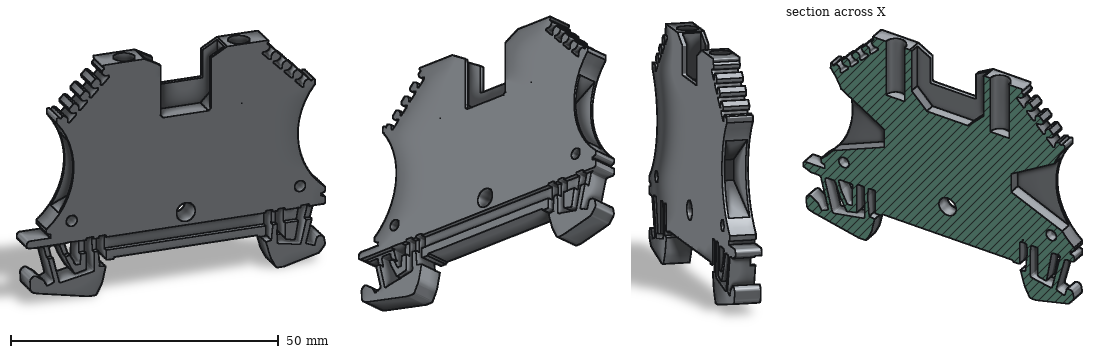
import cadquery as cq
import math


thickness = 5.1
top_z = 46.25
base_z = 7.15
small_round = 0.3

notch_half = 5.05
notch_z = 38.8
tower_shoulder_z = 44.45
tower_top_inner_y = 8.3
tower_top_outer_y = 16.8

tooth_count = 5
tooth_row_span = 8.75
tooth_pitch = tooth_row_span / (tooth_count - 1)
tooth_radius = 0.95
tooth_flat = 0.7
tooth_root_round = 0.25
first_tooth_y = 15.9
first_tooth_z = 45.0
tooth_root_drop = 1.8
shoulder_sum = first_tooth_y + first_tooth_z - tooth_root_drop
last_tooth_y = first_tooth_y + tooth_row_span
last_tooth_z = first_tooth_z - tooth_row_span

end_top_y = 25.9
end_top_z = 35.95
end_waist_y = 22.5
end_waist_z = 26.35
end_tip_y = 28.0
end_tip_z = 14.8
end_tip_bottom_z = 14.0
end_nick_y = 27.2
end_nick_z = 13.6

rail_hole_z = 14.05
rail_hole_radius = 1.85
pin_hole_y = 22.9
pin_hole_z = 15.8
pin_hole_radius = 1.1
screw_x = 2.8
screw_y = 11.5
screw_radius = 2.05
screw_depth = 12.0

pocket_x0 = 0.9
pocket_x1 = 4.45
pocket_back_y = 7.9
pocket_floor_half = 4.55
pocket_floor_z = 33.85

funnel_x0 = 0.55
funnel_x1 = 4.6
funnel_mouth_y = 27.0
funnel_floor = (25.0, 17.75)
funnel_roof = (23.65, 32.05)
funnel_back_y = 14.1
funnel_back_bottom_z = 22.4
funnel_back_top_z = end_waist_z

groove_x = 4.1
groove_bottom_z = 8.8
groove_top_z = 11.45
groove_length = 72.0

slot_top_z = 11.9
slot_inner_y = 16.0
skirt_z = 6.8
skirt_inner_y = 14.4
foot_root_z = 13.8
foot_inner_y = 16.8
tab_tip_y = 32.0
tab_top_z = 12.95


def unit_toward(start, end):
    length = math.hypot(end[0] - start[0], end[1] - start[1])
    return (end[0] - start[0]) / length, (end[1] - start[1]) / length


def rounded_prism(corners, x0=0.0, x1=thickness):
    """Prism along X from (y, z) or (y, z, radius) corners."""
    path = []
    for i, corner in enumerate(corners):
        radius = corner[2] if len(corner) == 3 else 0
        if radius == 0:
            path.append((corner[:2],))
            continue
        back = unit_toward(corner, corners[i - 1])
        ahead = unit_toward(corner, corners[(i + 1) % len(corners)])
        half_angle = math.acos(back[0] * ahead[0] + back[1] * ahead[1]) / 2
        reach = radius / math.tan(half_angle)
        bisector = unit_toward((0, 0), (back[0] + ahead[0], back[1] + ahead[1]))
        to_arc = radius / math.sin(half_angle) - radius
        path.append((
            (corner[0] + reach * back[0], corner[1] + reach * back[1]),
            (corner[0] + to_arc * bisector[0], corner[1] + to_arc * bisector[1]),
            (corner[0] + reach * ahead[0], corner[1] + reach * ahead[1]),
        ))
    wire = cq.Workplane("YZ", origin=(x0, 0, 0)).moveTo(*path[0][-1])
    for step in path[1:] + path[:1]:
        wire = wire.lineTo(*step[0])
        if len(step) == 3:
            wire = wire.threePointArc(step[1], step[2])
    return wire.close().extrude(x1 - x0)


def cylinder_x(y, z, radius):
    return cq.Workplane("YZ").center(y, z).circle(radius).extrude(thickness)


def both_ends(solid):
    return solid.union(solid.mirror("XZ"))


def half_plate():
    """The +Y half of the plate, without tooth heads."""
    root_step = tooth_root_drop / 2
    plate = rounded_prism([
        (0, base_z),
        (0, notch_z),
        (notch_half, notch_z, small_round),
        (notch_half, tower_shoulder_z, small_round),
        (tower_top_inner_y, top_z),
        (tower_top_outer_y, top_z, 0.25),
        (first_tooth_y + 0.4, first_tooth_z + 0.5),
        (first_tooth_y, first_tooth_z),
        (first_tooth_y - root_step, first_tooth_z - root_step),
        (last_tooth_y - root_step, last_tooth_z - root_step),
        (last_tooth_y, last_tooth_z),
        (last_tooth_y + 0.55, last_tooth_z + 0.55),
        (end_top_y - 0.4, end_top_z + 1.15, 0.2),
        (end_top_y, end_top_z + 1.0, 0.25),
        (end_top_y, end_top_z),
        (end_tip_y, end_tip_z),
        (end_tip_y, end_tip_bottom_z, 0.5),
        (end_nick_y, end_nick_z),
        (end_nick_y, slot_top_z),
        (slot_inner_y, slot_top_z, small_round),
        (slot_inner_y, skirt_z, small_round),
        (skirt_inner_y + 0.2, skirt_z),
        (skirt_inner_y - 0.1, base_z),
    ])
    bite = (
        cq.Workplane("YZ")
        .moveTo(end_top_y, end_top_z)
        .threePointArc((end_waist_y, end_waist_z), (end_tip_y, end_tip_z))
        .lineTo(end_tip_y + 0.6, end_top_z)
        .close()
        .extrude(thickness)
    )
    return plate.cut(bite)


def tooth(y, z):
    """Round head with a 45 degree outer flat, on a neck flaring into the root line."""
    half_chord = math.sqrt(tooth_radius**2 - tooth_flat**2)
    diagonal = math.sqrt(0.5)
    far = (tooth_flat + half_chord) * diagonal
    near = (tooth_flat - half_chord) * diagonal
    inner = tooth_radius * diagonal
    head = (
        cq.Workplane("YZ")
        .moveTo(y + near, z + far)
        .threePointArc((y - inner, z - inner), (y + far, z + near))
        .close()
        .extrude(thickness)
    )
    neck_y = y - tooth_radius
    neck_z = z - tooth_radius
    root_above = shoulder_sum - neck_y
    root_beside = shoulder_sum - neck_z
    flare = 0.6
    neck = rounded_prism([
        (y, z),
        (neck_y, z),
        (neck_y, root_above, tooth_root_round),
        (neck_y - flare, root_above + flare),
        (neck_y - flare, neck_z - flare),
        (root_beside + flare, neck_z - flare),
        (root_beside, neck_z, tooth_root_round),
        (y, neck_z),
    ])
    return head.union(neck)


def plus_y_foot():
    """Hooked spring foot below the +Y end."""
    foot = rounded_prism([
        (end_nick_y, foot_root_z),
        (end_nick_y, 13.2),
        (end_tip_y, 12.9, small_round),
        (end_tip_y, 11.45, 0.5),
        (26.0, 11.45, 0.5),
        (24.05, 4.0, small_round),
        (25.85, 3.35, 0.2),
        (26.35, 5.15, 0.6),
        (27.65, 5.15, 0.85),
        (28.0, 3.3, 0.9),
        (26.75, 1.75, 0.9),
        (19.6, 0, 0.9),
        (18.2, 0, 0.6),
        (17.0, 2.3, 4.8),
        (16.1, 5.5),
        (17.15, 5.75),
        (17.6, 10.0),
        (17.45, slot_top_z, small_round),
        (foot_inner_y, slot_top_z),
        (foot_inner_y, foot_root_z),
    ])
    window = rounded_prism([
        (24.9, slot_top_z, small_round),
        (23.05, 4.0, small_round),
        (18.35, 4.85, 0.5),
        (18.3, 10.0),
        (18.5, slot_top_z, small_round),
        (19.9, slot_top_z, small_round),
        (19.9, 5.5, 0.5),
        (21.9, 5.1, small_round),
        (23.1, slot_top_z, small_round),
    ])
    return foot, window


def minus_y_foot():
    """Foot below the -Y end, with a release tab and a braced inner hook."""
    foot = rounded_prism([
        (-end_nick_y, foot_root_z),
        (-end_nick_y, tab_top_z),
        (-tab_tip_y, tab_top_z, 0.7),
        (-tab_tip_y, 11.7, 0.2),
        (-30.2, 10.9, 0.6),
        (-28.15, 10.9, 0.35),
        (-26.4, 3.95, small_round),
        (-27.85, 3.35, 0.2),
        (-28.55, 4.6, 0.2),
        (-30.35, 5.9, 0.5),
        (-31.3, 5.2, 0.9),
        (-31.2, 2.6, 1.1),
        (-29.7, 2.1, 0.6),
        (-19.6, 0, 0.9),
        (-18.0, 0, 0.5),
        (-16.8, 2.3, 4.8),
        (-16.1, 5.5),
        (-17.3, 5.75),
        (-17.65, 10.0),
        (-17.45, slot_top_z, small_round),
        (-foot_inner_y, slot_top_z),
        (-foot_inner_y, foot_root_z),
    ])
    window = rounded_prism([
        (-18.5, slot_top_z, small_round),
        (-18.35, 4.9, 0.5),
        (-25.4, 3.6, 0.35),
        (-27.2, 10.9, 0.5),
        (-25.0, 10.9, 0.35),
        (-23.75, 7.6),
        (-22.3, 5.0, 0.2),
        (-20.0, 5.5, small_round),
        (-20.0, slot_top_z, small_round),
    ])
    brace_opening = rounded_prism([
        (-21.05, 11.5, 0.25),
        (-24.1, 11.5, 0.35),
        (-23.45, 9.3),
        (-22.15, 6.8, 0.35),
        (-21.2, 6.8, 0.2),
    ])
    return foot, window.union(brace_opening)


def tower_pocket():
    """Deepened notch with 45 degree ramps, running on into both towers between their side walls."""
    def ramp_z(y):
        return pocket_floor_z + y - pocket_floor_half

    def half_pocket(back_y, x1):
        return both_ends(rounded_prism([
            (0, pocket_floor_z),
            (pocket_floor_half, pocket_floor_z),
            (back_y, ramp_z(back_y)),
            (back_y, top_z),
            (0, top_z),
        ], pocket_x0, x1))

    return half_pocket(pocket_back_y, pocket_x1).union(half_pocket(notch_half, thickness))


def funnel():
    """Tapered wire entry in the +Y concave end."""
    def extended(back_z, mouth):
        slope = (mouth[1] - back_z) / (mouth[0] - funnel_back_y)
        return funnel_mouth_y, back_z + slope * (funnel_mouth_y - funnel_back_y)

    return rounded_prism([
        (funnel_back_y, funnel_back_bottom_z),
        extended(funnel_back_bottom_z, funnel_floor),
        extended(funnel_back_top_z, funnel_roof),
        (funnel_back_y, funnel_back_top_z),
    ], funnel_x0, funnel_x1)


def screw_hole():
    return (
        cq.Workplane("XY", origin=(screw_x, screw_y, top_z - screw_depth))
        .circle(screw_radius)
        .extrude(screw_depth)
    )


half = half_plate()
for index in range(tooth_count):
    half = half.union(tooth(first_tooth_y + index * tooth_pitch, first_tooth_z - index * tooth_pitch))
block = both_ends(half)

for foot, openings in (plus_y_foot(), minus_y_foot()):
    block = block.union(foot).cut(openings)

block = block.cut(cylinder_x(0, rail_hole_z, rail_hole_radius))
block = block.cut(both_ends(cylinder_x(pin_hole_y, pin_hole_z, pin_hole_radius)))
block = block.cut(tower_pocket())
block = block.cut(both_ends(funnel()))
block = block.cut(both_ends(screw_hole()))

groove = cq.Workplane("XY").box(
    thickness - groove_x, groove_length, groove_top_z - groove_bottom_z, centered=(False, True, False)
)
result = block.cut(groove.translate((groove_x, 0, groove_bottom_z)))